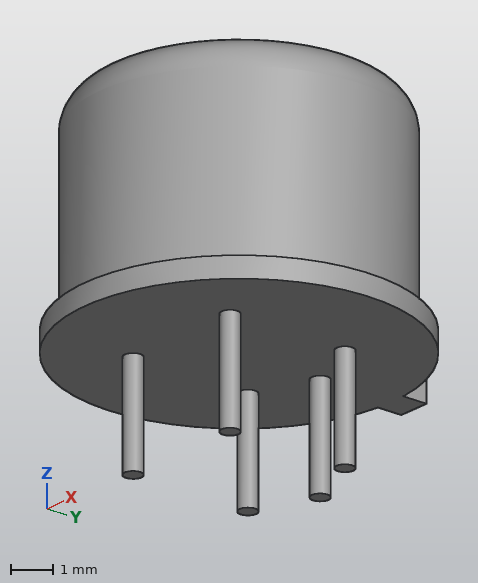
import cadquery as cq
import math

total_length = 10.1
flange_diameter = 9.4
flange_radius = flange_diameter / 2
flange_thickness = 0.6

can_radius = 4.25
can_height = 6.0
top_round = 1.0
base_fillet = 0.2

tab_width = 0.93
tab_end = total_length - flange_radius

lead_diameter = 0.5
lead_length = 3.0
lead_circle_radius = 2.5
lead_angles = [45, 90, 135, 225, 315]


def make_can():
    """Revolve the flange and the round-shouldered cap as one profile."""
    can_top = flange_thickness + can_height
    arc_inset = 1 - math.sqrt(0.5)
    profile = (
        cq.Workplane("XZ")
        .lineTo(flange_radius, 0)
        .lineTo(flange_radius, flange_thickness)
        .lineTo(can_radius + base_fillet, flange_thickness)
        .threePointArc(
            (can_radius + base_fillet * arc_inset, flange_thickness + base_fillet * arc_inset),
            (can_radius, flange_thickness + base_fillet),
        )
        .lineTo(can_radius, can_top - top_round)
        .threePointArc(
            (can_radius - top_round * arc_inset, can_top - top_round * arc_inset),
            (can_radius - top_round, can_top),
        )
        .lineTo(0, can_top)
        .close()
    )
    return profile.revolve(360, (0, 0, 0), (0, 1, 0))


def make_tab():
    """Index tab on the +Y side, starting inside the flange to join it fully."""
    tab_start = can_radius
    return (
        cq.Workplane("XY")
        .center(0, (tab_start + tab_end) / 2)
        .rect(tab_width, tab_end - tab_start)
        .extrude(flange_thickness)
    )


def make_lead(angle):
    """One round lead hanging below the flange at an angle on the lead circle."""
    x = lead_circle_radius * math.cos(math.radians(angle))
    y = lead_circle_radius * math.sin(math.radians(angle))
    return cq.Workplane("XY").center(x, y).circle(lead_diameter / 2).extrude(-lead_length)


result = make_can().union(make_tab())
for lead_angle in lead_angles:
    result = result.union(make_lead(lead_angle))